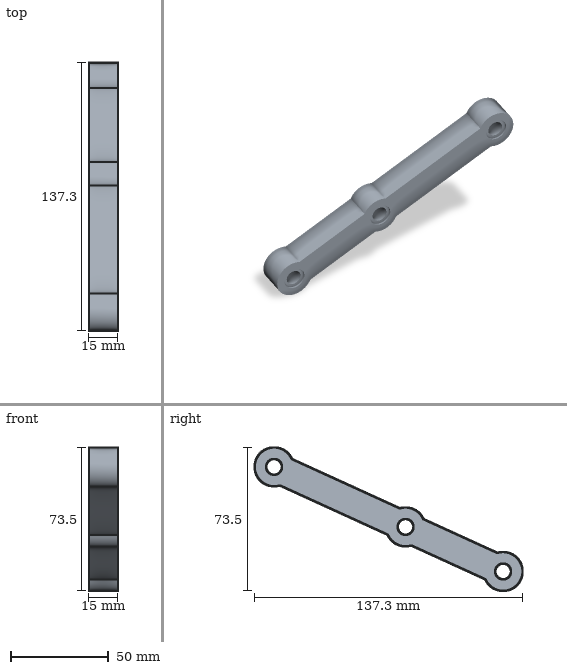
import cadquery as cq
import math

thickness = 15.0
boss_diameter = 20.0
bar_width = 15.0
bore_diameter = 8.0
counterbore_diameter = 11.5
counterbore_depth = 1.0

pivot_span_y = 117.3
pivot_span_z = 53.5
middle_pivot_fraction = 0.426

bar_length = math.hypot(pivot_span_y, pivot_span_z)
bar_angle = math.degrees(math.atan2(pivot_span_z, pivot_span_y))
middle_pivot = bar_length * (middle_pivot_fraction - 0.5)
pivots = [(-bar_length / 2, 0), (middle_pivot, 0), (bar_length / 2, 0)]

slope = math.radians(bar_angle)
face = cq.Plane(
    origin=(-thickness / 2, 0, 0),
    xDir=(0, -math.cos(slope), math.sin(slope)),
    normal=(-1, 0, 0),
)


def discs(diameter, depth):
    """Cylinders at every pivot, running from the -X face into the part."""
    return cq.Workplane(face).pushPoints(pivots).circle(diameter / 2).extrude(-depth)


bar = cq.Workplane(face).rect(bar_length, bar_width).extrude(-thickness)
body = bar.union(discs(boss_diameter, thickness))

bores = discs(bore_diameter, thickness)
counterbores = discs(counterbore_diameter, counterbore_depth)
result = body.cut(bores).cut(counterbores)